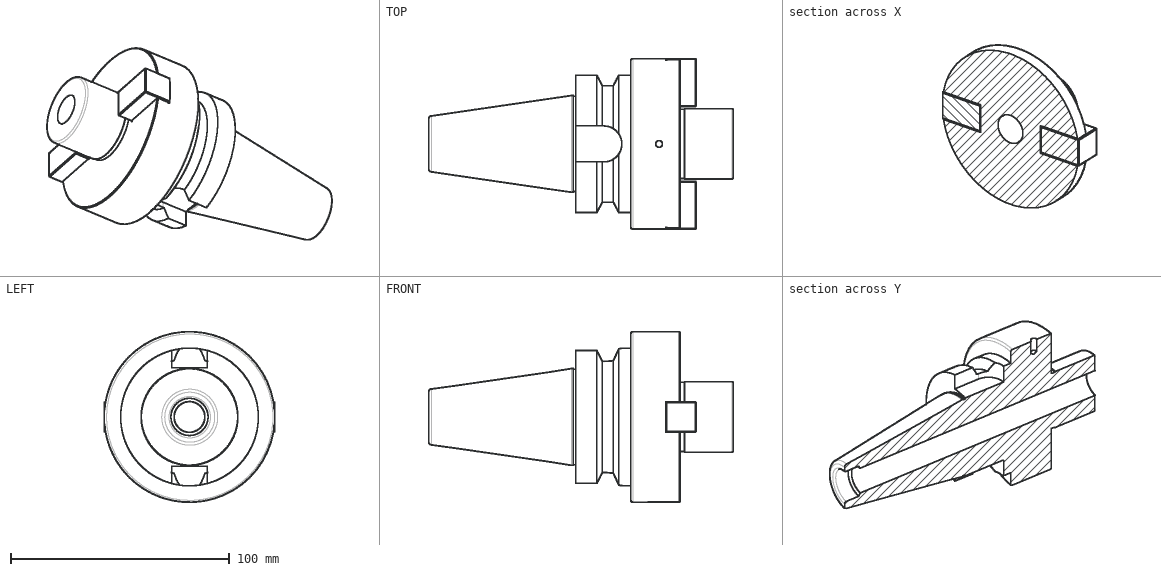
import cadquery as cq
import math

TAPER_END = 65.2
GAUGE_END = 66.1
FLANGE_START = 67.2
GROOVE_FLANK_START = 77.0
GROOVE_FLOOR_START = 79.5
GROOVE_FLOOR_END = 84.5
GROOVE_FLANK_END = 87.0
DISC_START = 92.4
DISC_END = 115.1
SPIGOT_START = 117.2
LENGTH = 139.4

GAUGE_R = 22.2
TAPER_RATIO = 7 / 24
TAPER_TIP_R = GAUGE_R - TAPER_END * TAPER_RATIO / 2
RELIEF_R = 21.9
FLANGE_R = 31.5
GROOVE_R = 26.8
DISC_R = 39.0
SPIGOT_R = 16.2
SPIGOT_NECK_R = 15.9

TIP_FILLET = 1.4
DISC_BACK_FILLET = 1.0
DISC_FRONT_CHAMFER = 0.4
SPIGOT_FILLET = 0.8

BORE_R = 7.0
COUNTERBORE_R = 8.5
COUNTERBORE_DEPTH = 8.0
COUNTERBORE_FLOOR_ANGLE = 120.0
MOUTH_FILLET = 1.0

SLOT_WIDTH = 16.5
SLOT_END = 88.4
SLOT_FLOOR_Z = 22.5

DRILL_X = 105.4
DRILL_R = 1.5
DRILL_DEPTH = 7.0
DRILL_POINT_ANGLE = 118.0

KEY_START = 108.5
KEY_END = 122.4
KEY_WIDTH = KEY_END - KEY_START
KEY_INNER_Y = 17.0
KEY_OUTER_Y = DISC_R
KEY_CHAMFER = 0.4


def revolve_about_x(profile):
    """Turn a closed XY profile about the X axis."""
    return profile.revolve(360, (0, 0, 0), (1, 0, 0))


def make_turned_body():
    """Taper, grooved flange, disc and spigot as one solid of revolution."""
    profile = (
        cq.Workplane("XY")
        .moveTo(0, 0)
        .lineTo(0, TAPER_TIP_R)
        .lineTo(TAPER_END, GAUGE_R)
        .lineTo(GAUGE_END, GAUGE_R)
        .lineTo(GAUGE_END, RELIEF_R)
        .lineTo(FLANGE_START, RELIEF_R)
        .lineTo(FLANGE_START, FLANGE_R)
        .lineTo(GROOVE_FLANK_START, FLANGE_R)
        .lineTo(GROOVE_FLOOR_START, GROOVE_R)
        .lineTo(GROOVE_FLOOR_END, GROOVE_R)
        .lineTo(GROOVE_FLANK_END, FLANGE_R)
        .lineTo(DISC_START, FLANGE_R)
        .lineTo(DISC_START, DISC_R - DISC_BACK_FILLET)
        .radiusArc((DISC_START + DISC_BACK_FILLET, DISC_R), DISC_BACK_FILLET)
        .lineTo(DISC_END - DISC_FRONT_CHAMFER, DISC_R)
        .lineTo(DISC_END, DISC_R - DISC_FRONT_CHAMFER)
        .lineTo(DISC_END, SPIGOT_NECK_R)
        .lineTo(SPIGOT_START - (SPIGOT_R - SPIGOT_NECK_R), SPIGOT_NECK_R)
        .lineTo(SPIGOT_START, SPIGOT_R)
        .lineTo(LENGTH - SPIGOT_FILLET, SPIGOT_R)
        .radiusArc((LENGTH, SPIGOT_R - SPIGOT_FILLET), SPIGOT_FILLET)
        .lineTo(LENGTH, 0)
        .close()
    )
    return revolve_about_x(profile).faces("<X").edges().fillet(TIP_FILLET)


def make_bore():
    """Through bore whose counterbore, at the small end, has a rounded mouth and a conical floor."""
    floor_half_angle = math.radians(COUNTERBORE_FLOOR_ANGLE / 2)
    floor_length = (COUNTERBORE_R - BORE_R) / math.tan(floor_half_angle)
    profile = (
        cq.Workplane("XY")
        .moveTo(0, 0)
        .lineTo(0, COUNTERBORE_R + MOUTH_FILLET)
        .radiusArc((MOUTH_FILLET, COUNTERBORE_R), -MOUTH_FILLET)
        .lineTo(COUNTERBORE_DEPTH, COUNTERBORE_R)
        .lineTo(COUNTERBORE_DEPTH + floor_length, BORE_R)
        .lineTo(LENGTH, BORE_R)
        .lineTo(LENGTH, 0)
        .close()
    )
    return revolve_about_x(profile)


def make_slot(side):
    """Cutter for one flange slot, on the top (side = 1) or the bottom (side = -1)."""
    half_width = SLOT_WIDTH / 2
    arc_center_x = SLOT_END - half_width
    return (
        cq.Workplane("XY", origin=(0, 0, side * SLOT_FLOOR_Z))
        .moveTo(FLANGE_START, -half_width)
        .lineTo(arc_center_x, -half_width)
        .threePointArc((SLOT_END, 0), (arc_center_x, half_width))
        .lineTo(FLANGE_START, half_width)
        .close()
        .extrude(side * (DISC_R - SLOT_FLOOR_Z))
    )


def make_drill_hole():
    """Cutter for the blind hole in the disc, with its conical drill point."""
    floor_z = DISC_R - DRILL_DEPTH
    point_depth = DRILL_R / math.tan(math.radians(DRILL_POINT_ANGLE / 2))
    return (
        cq.Workplane("XZ")
        .moveTo(DRILL_X, DISC_R)
        .lineTo(DRILL_X + DRILL_R, DISC_R)
        .lineTo(DRILL_X + DRILL_R, floor_z)
        .lineTo(DRILL_X, floor_z - point_depth)
        .close()
        .revolve(360, (DRILL_X, 0, 0), (DRILL_X, 1, 0))
    )


def make_key_block(side):
    """Sharp-edged block of one drive key, on the +Y (side = 1) or -Y (side = -1) side."""
    center_x = (KEY_START + KEY_END) / 2
    center_y = side * (KEY_INNER_Y + KEY_OUTER_Y) / 2
    return (
        cq.Workplane("XY", origin=(center_x, center_y, 0))
        .box(KEY_WIDTH, KEY_OUTER_Y - KEY_INNER_Y, KEY_WIDTH)
    )


def make_arbor():
    """Turned body with its bore, flange slots, drilled hole and key pockets."""
    body = make_turned_body().cut(make_bore()).cut(make_drill_hole())
    for side in (1, -1):
        body = body.cut(make_slot(side)).cut(make_key_block(side))
    return body


def make_drive_key(side):
    """One drive key with all its edges broken."""
    return make_key_block(side).edges().chamfer(KEY_CHAMFER)


arbor = make_arbor()
drive_keys = [make_drive_key(side) for side in (1, -1)]

result = cq.Compound.makeCompound([arbor.val(), *[key.val() for key in drive_keys]])